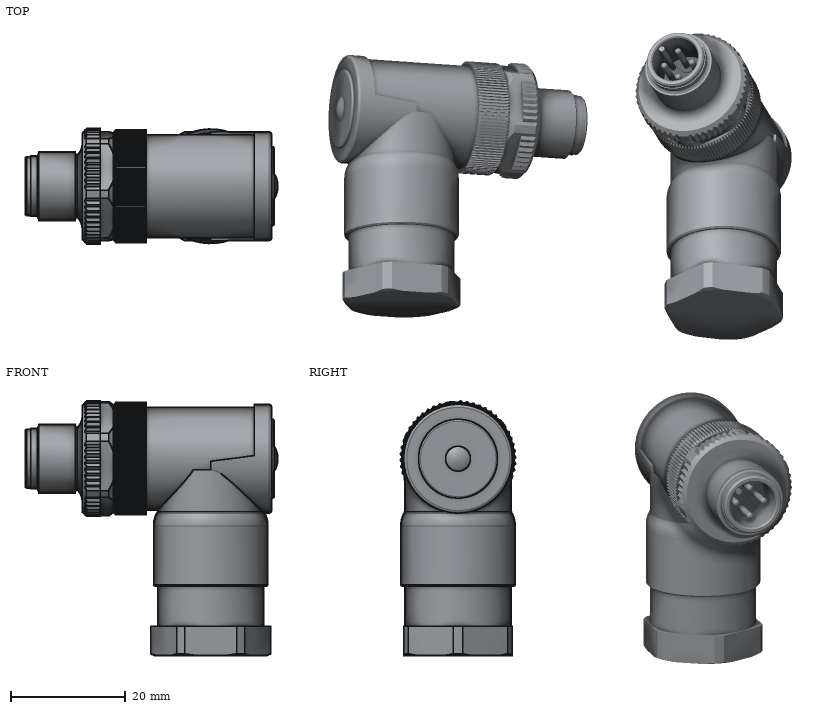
import cadquery as cq
import math


tip_radius = 5.15
tip_chamfer = 0.25
band_radius = 5.3
band_start = 1.02
thread_radius = 6.0
thread_shoulder_radius = 5.75
thread_start = 2.4
thread_end = 8.75
thread_lead = 0.3
neck_radius = 5.4
neck_end = 9.08

bore_radius = 8.3 / 2
bore_depth = 8
bore_chamfer = 0.22
pin_radius = 1.1 / 2
pin_circle_radius = 2.5
pin_start = 1.75
pin_rounding = 0.45
key_radius = 1.0 / 2
key_start = 0.45
key_circle_radius = 3.5
key_angle = 45
cross_width = 2 * key_radius
cross_depth = 0.22
cross_corner_radius = 2.25 / 2

collar_start = 9.95
collar_fillet_radius = 7.4
collar_face_radius = 9.25
collar_teeth_start = 10.8
collar_teeth_end = 13.12
tooth_tip_radius = 10.1
tooth_root_radius = 9.7
teeth_per_side = 8
hex_end = 15.45
hex_chamfer_start = 14.6
hex_flats = 18.0
hex_corner_radius = 20 / 2
hex_corner_angle = 38
hex_sides = 6

flute_ring_radius = 9.85
flute_root_radius = 19.0 / 2
flute_ring_end = 21.15
flute_chamfer_end = 15.9
flute_groove_radius = 9.35
flute_count = 108

body_radius = 18.0 / 2
cap_radius = 19.0 / 2
cap_start = 40.05
cap_end = 43.05
cap_overlap = 1.35
cap_rounding = 0.5
tab_top_front = -0.45
tab_top_rear = 0.55
disc_radius = 6.9
disc_end = 43.5
disc_rounding = 0.3
dome_radius = 2.2
length = 44.2
dome_height = length - disc_end
dome_sphere_radius = (dome_radius**2 + dome_height**2) / (2 * dome_height)

stem_x = 32.45
stem_radius = 18.6 / 2
stem_top = -1.9
barrel_radius = 20 / 2
barrel_top_radius = 9.45
barrel_top = -9.5
barrel_straight_top = -11.75
barrel_bottom = -22.3
barrel_chamfer = 0.25
nut_top = -29.27
nut_bottom = tooth_tip_radius - 44.5
nut_flats = 19.0
nut_corner_radius = 21.05 / 2
nut_chamfer_radius = 9.8
nut_chamfer_height = 0.3


def disc_x(radius, start, end):
    """Cylinder on the X axis between two X positions."""
    return cq.Workplane("YZ", origin=(start, 0, 0)).circle(radius).extrude(end - start)


def disc_z(radius, bottom, top):
    """Cylinder on the cable outlet axis between two heights."""
    return cq.Workplane("XY", origin=(stem_x, 0, bottom)).circle(radius).extrude(top - bottom)


def revolve_x(points):
    """Solid of revolution about X from (x, radius) points, closed along the axis."""
    first_x = points[0][0]
    last_x = points[-1][0]
    outline = [(first_x, 0)] + points + [(last_x, 0)]
    return cq.Workplane("XY").polyline(outline).close().revolve(360, (0, 0, 0), (1, 0, 0))


def polar(radius, degrees):
    angle = math.radians(degrees)
    return (radius * math.cos(angle), radius * math.sin(angle))


def across_corners(flats):
    return flats / math.cos(math.pi / hex_sides)


def make_plug():
    return revolve_x([
        (0, tip_radius - tip_chamfer),
        (tip_chamfer, tip_radius),
        (band_start, tip_radius),
        (band_start, band_radius),
        (thread_start - thread_lead, band_radius),
        (thread_start, thread_shoulder_radius),
        (thread_start, thread_radius),
        (thread_end, thread_radius),
        (thread_end, thread_shoulder_radius),
        (neck_end, neck_radius),
        (collar_start, neck_radius),
    ])


def make_collar():
    envelope = (
        cq.Workplane("XY")
        .moveTo(hex_end, 0)
        .lineTo(hex_end, flute_groove_radius)
        .lineTo(hex_chamfer_start, hex_corner_radius)
        .lineTo(collar_teeth_end, hex_corner_radius)
        .lineTo(collar_teeth_end, tooth_tip_radius)
        .lineTo(collar_teeth_start, tooth_tip_radius)
        .lineTo(collar_start, collar_face_radius)
        .lineTo(collar_start, collar_fillet_radius)
        .tangentArcPoint((neck_end, neck_radius), relative=False)
        .lineTo(neck_end, 0)
        .close()
        .revolve(360, (0, 0, 0), (1, 0, 0))
    )

    apothem = hex_flats / 2
    strip_half_angle = math.degrees(math.acos(apothem / hex_corner_radius))
    strip_half_angle = 180 / hex_sides - strip_half_angle
    side_angle = 360 / hex_sides
    tooth_pitch = (side_angle - 2 * strip_half_angle) / teeth_per_side
    outline = []
    for side in range(hex_sides):
        corner = hex_corner_angle + side * side_angle
        first = corner + strip_half_angle
        outline.append(polar(hex_corner_radius, corner - strip_half_angle))
        outline.append(polar(hex_corner_radius, first))
        for tooth in range(teeth_per_side):
            outline.append(polar(tooth_root_radius, first + (tooth + 0.5) * tooth_pitch))
            if tooth < teeth_per_side - 1:
                outline.append(polar(tooth_tip_radius, first + (tooth + 1) * tooth_pitch))
    toothed = (
        cq.Workplane("YZ", origin=(neck_end, 0, 0))
        .polyline(outline)
        .close()
        .extrude(collar_teeth_end - neck_end)
    )
    hexagon = (
        cq.Workplane("YZ", origin=(collar_teeth_end, 0, 0))
        .transformed(rotate=(0, 0, hex_corner_angle))
        .polygon(hex_sides, across_corners(hex_flats))
        .extrude(hex_end - collar_teeth_end)
    )
    return toothed.union(hexagon).intersect(envelope)


def make_fluted_ring():
    pitch = 360 / flute_count
    outline = []
    for flute in range(flute_count):
        start = flute * pitch
        outline.append(polar(flute_ring_radius, start))
        outline.append(polar(flute_ring_radius, start + pitch / 2))
        outline.append(polar(flute_root_radius, start + pitch / 2))
        outline.append(polar(flute_root_radius, start + pitch))
    ring = (
        cq.Workplane("YZ", origin=(hex_end, 0, 0))
        .polyline(outline)
        .close()
        .extrude(flute_ring_end - hex_end)
    )
    envelope = revolve_x([
        (hex_end, flute_groove_radius),
        (flute_chamfer_end, flute_ring_radius),
        (flute_ring_end, flute_ring_radius),
    ])
    return ring.intersect(envelope)


def make_body():
    return disc_x(body_radius, hex_end, cap_start + cap_overlap)


def make_cap():
    cap = (
        cq.Workplane("XY")
        .moveTo(stem_x, 0)
        .lineTo(stem_x, cap_radius)
        .lineTo(cap_end - cap_rounding, cap_radius)
        .tangentArcPoint((cap_end, cap_radius - cap_rounding), relative=False)
        .lineTo(cap_end, disc_radius)
        .lineTo(disc_end - disc_rounding, disc_radius)
        .tangentArcPoint((disc_end, disc_radius - disc_rounding), relative=False)
        .lineTo(disc_end, dome_radius)
        .radiusArc((length, 0), dome_sphere_radius)
        .close()
        .revolve(360, (0, 0, 0), (1, 0, 0))
    )

    clearance = 2 * cap_radius
    relief = (
        cq.Workplane("XZ", origin=(0, clearance, 0))
        .polyline([
            (stem_x, tab_top_front),
            (cap_start, tab_top_rear),
            (cap_start, clearance),
            (stem_x - clearance, clearance),
            (stem_x - clearance, tab_top_front),
        ])
        .close()
        .extrude(2 * clearance)
    )
    return cap.cut(relief)


def make_outlet():
    stem = disc_z(stem_radius, nut_top, stem_top)
    barrel = (
        cq.Workplane("XZ")
        .moveTo(0, barrel_bottom)
        .lineTo(barrel_radius - barrel_chamfer, barrel_bottom)
        .lineTo(barrel_radius, barrel_bottom + barrel_chamfer)
        .lineTo(barrel_radius, barrel_straight_top)
        .tangentArcPoint((barrel_top_radius, barrel_top), relative=False)
        .lineTo(stem_radius, barrel_top + barrel_chamfer)
        .lineTo(0, barrel_top + barrel_chamfer)
        .close()
        .revolve(360, (0, 0, 0), (0, 1, 0))
        .translate((stem_x, 0, 0))
    )
    return stem.union(barrel).union(make_nut())


def make_nut():
    hexagon = (
        cq.Workplane("XY", origin=(stem_x, 0, nut_bottom))
        .polygon(hex_sides, across_corners(nut_flats))
        .extrude(nut_top - nut_bottom)
    )
    envelope = (
        cq.Workplane("XZ")
        .polyline([
            (0, nut_bottom),
            (nut_chamfer_radius, nut_bottom),
            (nut_corner_radius, nut_bottom + nut_chamfer_height),
            (nut_corner_radius, nut_top),
            (0, nut_top),
        ])
        .close()
        .revolve(360, (0, 0, 0), (0, 1, 0))
        .translate((stem_x, 0, 0))
    )
    return hexagon.intersect(envelope)


def make_bore():
    return revolve_x([
        (0, bore_radius + bore_chamfer),
        (bore_chamfer, bore_radius),
        (bore_depth, bore_radius),
    ])


def make_cross():
    """Shallow diagonal cross sunk into the floor of the bore."""
    cross = cq.Workplane("YZ", origin=(bore_depth, 0, 0)).rect(2 * bore_radius, cross_width)
    cross = cross.extrude(cross_depth)
    cross = cross.union(cross.rotate((0, 0, 0), (1, 0, 0), 90))
    half = cross_width / 2
    inner_corners = cq.selectors.BoxSelector(
        (0, -half - 0.05, -half - 0.05), (length, half + 0.05, half + 0.05)
    )
    cross = cross.edges("|X").edges(inner_corners).fillet(cross_corner_radius)
    cross = cross.rotate((0, 0, 0), (1, 0, 0), key_angle)
    return cross.intersect(disc_x(bore_radius, bore_depth, bore_depth + cross_depth))


def make_pins():
    pin = disc_x(pin_radius, pin_start, bore_depth + cross_depth).faces("<X").edges().fillet(pin_rounding)
    pins = cq.Workplane("YZ")
    for quarter in range(4):
        y, z = polar(pin_circle_radius, 90 * quarter)
        pins = pins.add(pin.translate((0, y, z)))
    return pins


def make_key():
    """Round coding rib along the bore wall."""
    y, z = polar(key_circle_radius, key_angle)
    return disc_x(key_radius, key_start, bore_depth + cross_depth).translate((0, y, z))


result = make_body().union(make_outlet()).union(make_cap())
result = result.union(make_fluted_ring()).union(make_collar()).union(make_plug())
result = result.cut(make_bore()).cut(make_cross()).union(make_key())
for contact in make_pins().vals():
    result = result.union(cq.Workplane(contact))